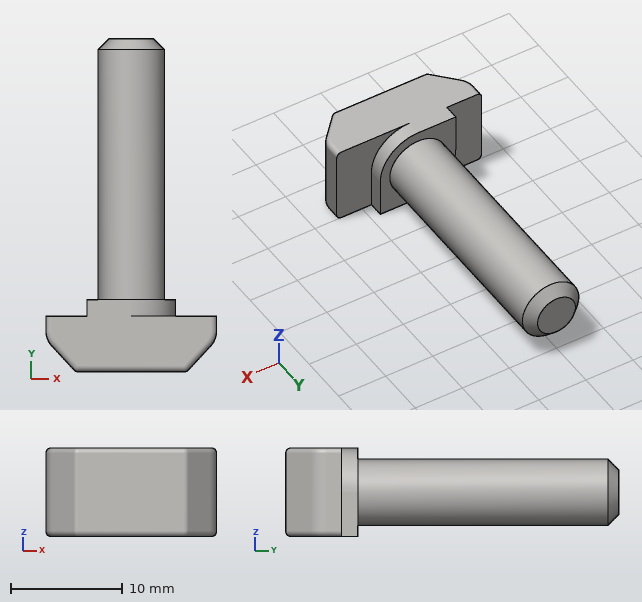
import cadquery as cq

total_length = 30.0
head_width = 15.4
head_height = 5.0
head_depth = 8.0
head_side = 2.1
head_bevel_inset = 2.7
side_radius = 2.0
edge_radius = 0.5
neck_height = 1.5
shank_diameter = 6.0
tip_chamfer = 1.0

head_bottom = -total_length / 2
shoulder = head_bottom + head_height
neck_top = shoulder + neck_height
shank_end = total_length / 2


def make_head():
    half_width = head_width / 2
    half_base = half_width - head_bevel_inset
    side_end = shoulder - head_side
    head = (
        cq.Workplane("XY")
        .workplane(offset=-head_depth / 2)
        .moveTo(-half_width, shoulder)
        .lineTo(-half_width, side_end)
        .lineTo(-half_base, head_bottom)
        .lineTo(half_base, head_bottom)
        .lineTo(half_width, side_end)
        .lineTo(half_width, shoulder)
        .close()
        .extrude(head_depth)
    )
    flank_corners = cq.selectors.BoxSelector(
        (-head_width, side_end - edge_radius, -head_depth),
        (head_width, side_end + edge_radius, head_depth),
    )
    head = head.edges("|Z").edges(flank_corners).fillet(side_radius)
    head = head.edges("|Z").edges("<Y").fillet(edge_radius)
    return head.faces("<Z or >Z").edges("not(>Y)").fillet(edge_radius)


def make_neck():
    half = head_depth / 2
    neck = cq.Workplane("XZ", origin=(0, neck_top, 0)).circle(half).extrude(neck_height)
    for side in (-1, 1):
        stop = cq.Workplane("XY").box(half, neck_height, half)
        stop_center = (side * half / 2, shoulder + neck_height / 2, -side * half / 2)
        neck = neck.union(stop.translate(stop_center))
    return neck


def make_shank():
    shank = (
        cq.Workplane("XZ", origin=(0, shank_end, 0))
        .circle(shank_diameter / 2)
        .extrude(shank_end - shoulder)
    )
    return shank.faces(">Y").chamfer(tip_chamfer)


result = make_head().union(make_neck()).union(make_shank())